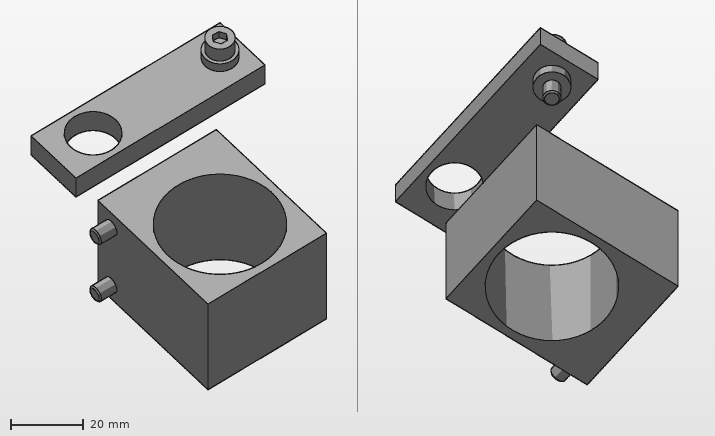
import cadquery as cq

TOTAL_HEIGHT = 114.2

BLOCK_WIDTH = 49.0
BLOCK_DEPTH = 42.0
BLOCK_HEIGHT = 36.0
BORE_DIAMETER = 37.0
BORE_TO_RIGHT_SIDE = BLOCK_DEPTH / 2
PIN_DIAMETER = 5.0
PIN_LENGTH = 5.9
PIN_SPACING = 24.0
PIN_INSET = (BLOCK_HEIGHT - PIN_SPACING) / 2
TIP_CHAMFER = 0.5

ARM_WIDTH = 20.0
ARM_LENGTH = 67.0
ARM_THICKNESS = 8.0
ARM_BACK_Y = 8.0
ARM_HOLE_DIAMETER = 16.0
ARM_HOLE_Y = -45.0
BOSS_DIAMETER = 10.5
BOSS_HEIGHT = 3.2
HEAD_DIAMETER = 8.5
HEAD_HEIGHT = 5.0
SHANK_DIAMETER = 5.0
SHANK_LENGTH = 5.5
SOCKET_ACROSS_CORNERS = 4.6
SOCKET_DEPTH = HEAD_HEIGHT / 2

HEAD_BASE_Z = TOTAL_HEIGHT - HEAD_HEIGHT
ARM_TOP_Z = HEAD_BASE_Z - BOSS_HEIGHT
ARM_BASE_Z = ARM_TOP_Z - ARM_THICKNESS
LOWER_BOSS_BASE_Z = ARM_BASE_Z - BOSS_HEIGHT
SHANK_END_Z = LOWER_BOSS_BASE_Z - SHANK_LENGTH


def upright_cylinder(diameter, height, base_z, y=0.0):
    """Vertical cylinder centred on X = 0."""
    return cq.Workplane("XY", origin=(0, y, base_z)).circle(diameter / 2).extrude(height)


def make_pin(x, z):
    """Pin pointing towards -Y from the block, with a chamfered tip."""
    pin = cq.Workplane("XZ", origin=(x, -BLOCK_DEPTH / 2, z)).circle(PIN_DIAMETER / 2).extrude(PIN_LENGTH)
    return pin.faces("<Y").chamfer(TIP_CHAMFER)


def make_block():
    """Bored block with its two projecting pins as one solid."""
    left_x = BORE_TO_RIGHT_SIDE - BLOCK_WIDTH
    block = cq.Workplane("XY").box(BLOCK_WIDTH, BLOCK_DEPTH, BLOCK_HEIGHT, centered=(False, True, False))
    block = block.translate((left_x, 0, 0))
    block = block.cut(upright_cylinder(BORE_DIAMETER, BLOCK_HEIGHT, 0))
    for pin_z in (PIN_INSET, BLOCK_HEIGHT - PIN_INSET):
        block = block.union(make_pin(left_x + PIN_INSET, pin_z))
    return block


def make_arm():
    """Flat arm with its bosses, socket head and screw shank as one solid."""
    arm = cq.Workplane("XY").box(ARM_WIDTH, ARM_LENGTH, ARM_THICKNESS, centered=(True, False, False))
    arm = arm.translate((0, ARM_BACK_Y - ARM_LENGTH, ARM_BASE_Z))
    arm = arm.cut(upright_cylinder(ARM_HOLE_DIAMETER, ARM_THICKNESS, ARM_BASE_Z, ARM_HOLE_Y))

    for boss_z in (ARM_TOP_Z, LOWER_BOSS_BASE_Z):
        arm = arm.union(upright_cylinder(BOSS_DIAMETER, BOSS_HEIGHT, boss_z))

    shank = upright_cylinder(SHANK_DIAMETER, SHANK_LENGTH, SHANK_END_Z).faces("<Z").chamfer(TIP_CHAMFER)
    arm = arm.union(shank)
    arm = arm.union(upright_cylinder(HEAD_DIAMETER, HEAD_HEIGHT, HEAD_BASE_Z))

    socket = cq.Workplane("XY", origin=(0, 0, TOTAL_HEIGHT - SOCKET_DEPTH))
    socket = socket.transformed(rotate=(0, 0, 90)).polygon(6, SOCKET_ACROSS_CORNERS).extrude(SOCKET_DEPTH)
    return arm.cut(socket)


block = make_block()
arm = make_arm()
result = cq.Compound.makeCompound([block.val(), arm.val()])